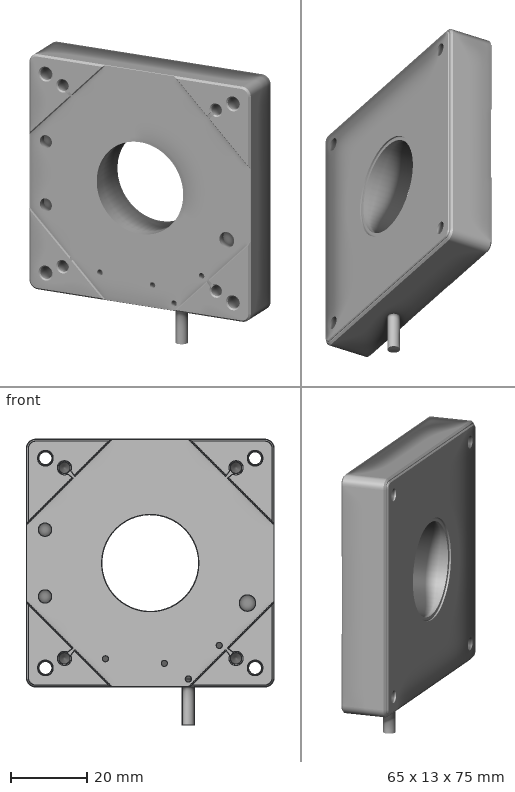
import cadquery as cq
import math

side = 65.0
thickness = 13.0
corner_radius = 2.5
rim_chamfer = 0.5
bore_diameter = 25.4

cover_thickness = 0.45
cover_inset = 0.8
cover_chamfer = 0.25
cover_bore_clearance = 1.0
cover_bore_diameter = bore_diameter + 2 * cover_bore_clearance

pad_height = 0.4
pad_face_y = 0.0
front_face_y = pad_face_y + pad_height
back_face_y = pad_face_y + thickness
housing_back_y = back_face_y - cover_thickness

pad_line = 42.5
pad_wall_slope = 0.3

mount_offset = 27.5
mount_diameter = 3.4
mount_countersink = 4.1

blind_x = 22.5
blind_z = 25.0
blind_diameter = 3.0
blind_countersink = 3.7
blind_depth = 6.0
drill_tip_angle = 118.0
slot_width_at_hole = 1.6
slot_width_at_mouth = 0.7

front_hole_depth = 2.2
locating_diameter = 3.5
locating_points = [(-27.6, 8.75), (-27.6, -8.75)]
adjuster_diameter = 4.3
adjuster_points = [(25.5, -10.5)]
pin_diameter = 1.6
pin_points = [(-11.75, -25.1), (3.7, -26.3), (18.1, -21.6)]

cable_diameter = 3.3
cable_x = 10.0
cable_y = 4.9
cable_free_length = 10.0
cable_top_z = -30.4
cable_bottom_z = -side / 2 - cable_free_length

corner_signs = [(sx, sz) for sx in (-1, 1) for sz in (-1, 1)]


def disc(x, z, diameter, y_start, y_end):
    """Cylinder along +Y."""
    base = cq.Workplane("XZ", origin=(x, y_start, z))
    return base.circle(diameter / 2).extrude(y_start - y_end)


def countersunk_hole(x, z, diameter, rim_diameter, y_end):
    """Hole from the pad face to y_end with a 45 degree countersink at the pad face."""
    sink_depth = (rim_diameter - diameter) / 2
    sink = cq.Solid.makeCone(
        rim_diameter / 2,
        diameter / 2,
        sink_depth,
        cq.Vector(x, pad_face_y, z),
        cq.Vector(0, 1, 0),
    )
    return disc(x, z, diameter, pad_face_y, y_end).union(cq.Workplane(sink))


def drilled_hole(x, z):
    """Countersunk blind hole with a conical drill tip."""
    tip_length = blind_diameter / 2 / math.tan(math.radians(drill_tip_angle / 2))
    tip = cq.Solid.makeCone(
        blind_diameter / 2,
        0,
        tip_length,
        cq.Vector(x, blind_depth, z),
        cq.Vector(0, 1, 0),
    )
    hole = countersunk_hole(x, z, blind_diameter, blind_countersink, blind_depth)
    return hole.union(cq.Workplane(tip))


def diamond(reach):
    """Corners of a square standing on its tip."""
    return [(reach, 0), (0, reach), (-reach, 0), (0, -reach)]


def front_recess():
    """Space between the four corner pads, widening toward the pad faces."""
    pad_face_line = pad_line + pad_wall_slope * math.sqrt(2)
    return (
        cq.Workplane("XZ", origin=(0, pad_face_y, 0))
        .polyline(diamond(pad_face_line))
        .close()
        .workplane(offset=-pad_height)
        .polyline(diamond(pad_line))
        .close()
        .loft(ruled=True)
    )


def vent_slot(sign_x, sign_z):
    """Slot from a blind hole straight toward the recess, narrowing to its mouth."""
    length = (blind_x + blind_z - pad_line) / math.sqrt(2)
    half_hole = slot_width_at_hole / 2
    half_mouth = slot_width_at_mouth / 2
    inward = math.degrees(math.atan2(-sign_z, -sign_x))
    slot = (
        cq.Workplane("XZ")
        .polyline([(0, half_hole), (length, half_mouth), (length, -half_mouth), (0, -half_hole)])
        .close()
        .extrude(-pad_height)
    )
    slot = slot.rotate((0, 0, 0), (0, -1, 0), inward)
    return slot.translate((sign_x * blind_x, pad_face_y, sign_z * blind_z))


def rounded_plate(inset, y_start, y_end):
    """Plate with the housing outline moved inward by inset."""
    width = side - 2 * inset
    plate = cq.Workplane("XZ", origin=(0, y_start, 0)).rect(width, width).extrude(y_start - y_end)
    return plate.edges("|Y").fillet(corner_radius - inset)


def make_cable():
    base = cq.Workplane("XY", origin=(cable_x, cable_y, cable_bottom_z))
    return base.circle(cable_diameter / 2).extrude(cable_top_z - cable_bottom_z)


def make_housing():
    body = rounded_plate(0, pad_face_y, housing_back_y)
    body = body.faces("<Y or >Y").chamfer(rim_chamfer)
    body = body.cut(front_recess())
    body = body.cut(disc(0, 0, bore_diameter, pad_face_y, housing_back_y))

    for sign_x, sign_z in corner_signs:
        mount_x = sign_x * mount_offset
        mount_z = sign_z * mount_offset
        body = body.cut(countersunk_hole(mount_x, mount_z, mount_diameter, mount_countersink, housing_back_y))
        body = body.cut(drilled_hole(sign_x * blind_x, sign_z * blind_z))
        body = body.cut(vent_slot(sign_x, sign_z))

    front_hole_bottom_y = front_face_y + front_hole_depth
    hole_groups = [
        (locating_diameter, locating_points),
        (adjuster_diameter, adjuster_points),
        (pin_diameter, pin_points),
    ]
    for diameter, points in hole_groups:
        for x, z in points:
            body = body.cut(disc(x, z, diameter, front_face_y, front_hole_bottom_y))

    body = body.cut(disc(cable_x, cable_top_z, pin_diameter, front_face_y, cable_y))
    return body.cut(make_cable())


def make_cover():
    plate = rounded_plate(cover_inset, housing_back_y, back_face_y)
    plate = plate.faces(">Y").chamfer(cover_chamfer)
    plate = plate.cut(disc(0, 0, cover_bore_diameter, housing_back_y, back_face_y))
    for sign_x, sign_z in corner_signs:
        x = sign_x * mount_offset
        z = sign_z * mount_offset
        plate = plate.cut(disc(x, z, mount_diameter, housing_back_y, back_face_y))
    return plate


housing = make_housing()
back_cover = make_cover()
cable = make_cable()

result = cq.Compound.makeCompound([housing.val(), back_cover.val(), cable.val()])